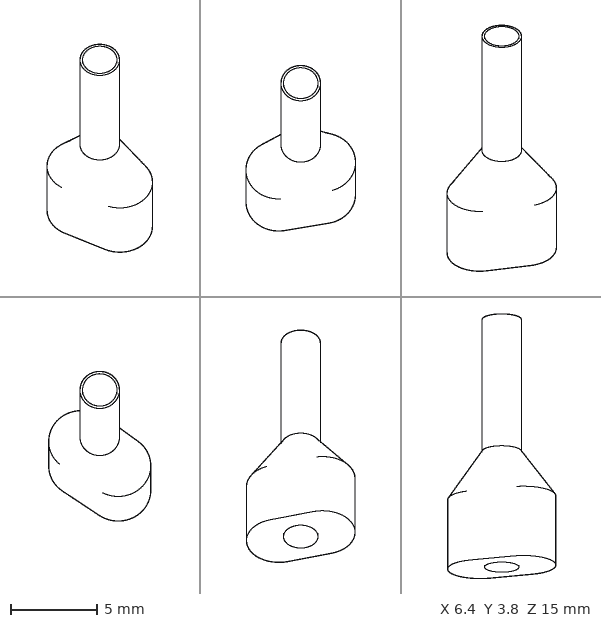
import cadquery as cq

total_height = 15.0
collar_length = 6.4
collar_width = 3.8
skirt_height = 4.2
tube_length = 8.0
tube_diameter = 2.3
bore_diameter = 2.0

collar_height = total_height - tube_length
taper_height = collar_height - skirt_height
end_radius = collar_width / 2
tube_radius = tube_diameter / 2
end_offset = (collar_length - collar_width) / 2


def make_skirt():
    """Straight oblong lower part of the collar."""
    return cq.Workplane("XY").slot2D(collar_length, collar_width).extrude(skirt_height)


def make_taper_end(side):
    """Half cone from one rounded end (side = -1 or 1) up to half of the tube circle."""
    return (
        cq.Workplane("XY", origin=(0, 0, skirt_height))
        .moveTo(side * end_offset, -end_radius)
        .threePointArc((side * (end_offset + end_radius), 0), (side * end_offset, end_radius))
        .close()
        .workplane(offset=taper_height)
        .moveTo(0, -tube_radius)
        .threePointArc((side * tube_radius, 0), (0, tube_radius))
        .close()
        .loft(ruled=True)
    )


def make_taper_wedge():
    """Flat-sided middle of the taper, narrowing to a single edge at the top."""
    triangle = (
        cq.Workplane("XZ")
        .polyline([(-end_offset, skirt_height), (end_offset, skirt_height), (0, collar_height)])
        .close()
        .extrude(end_radius, both=True)
    )
    trapezoid = (
        cq.Workplane("YZ")
        .polyline([
            (-end_radius, skirt_height),
            (end_radius, skirt_height),
            (tube_radius, collar_height),
            (-tube_radius, collar_height),
        ])
        .close()
        .extrude(end_offset, both=True)
    )
    return triangle.intersect(trapezoid)


def make_collar():
    """Oblong collar with its taper and the wire bore through it."""
    body = make_skirt().union(make_taper_wedge())
    for side in (-1, 1):
        body = body.union(make_taper_end(side))
    bore = cq.Workplane("XY").circle(bore_diameter / 2).extrude(collar_height)
    return body.cut(bore)


def make_tube():
    """Thin round tube standing on the top rim of the collar."""
    return (
        cq.Workplane("XY", origin=(0, 0, collar_height))
        .circle(tube_radius)
        .circle(bore_diameter / 2)
        .extrude(tube_length)
    )


collar = make_collar()
tube = make_tube()

result = cq.Compound.makeCompound([collar.solids().val(), tube.val()])